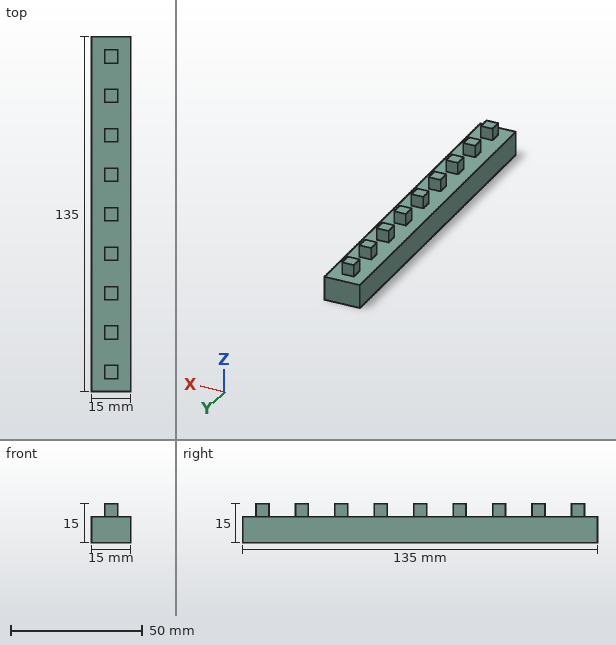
import cadquery as cq

bar_length = 135.0
peg_count = 9

cell = bar_length / peg_count
peg_size = cell / 3
bar_height = cell - peg_size

bar = cq.Workplane("XY").box(cell, bar_length, bar_height, centered=(True, True, False))

pegs = (
    cq.Workplane("XY", origin=(0, 0, bar_height))
    .rarray(cell, cell, 1, peg_count)
    .rect(peg_size, peg_size)
    .extrude(peg_size)
)

result = bar.union(pegs)